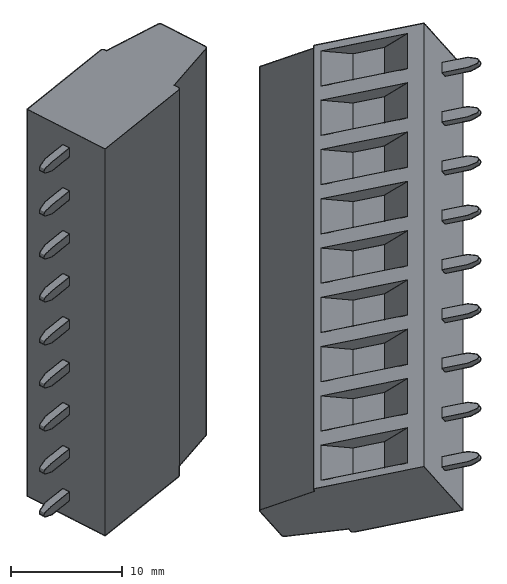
import cadquery as cq


height = 45.0
width = 8.9
total_depth = 20.3
pin_length = 3.5
body_depth = total_depth - pin_length
pole_count = 9
pitch = height / pole_count

shoulder_depth = 10.8
left_shoulder = 0.45
right_shoulder = 0.7
crown_inset_left = 1.8
crown_inset_right = 1.7
corner_radius = 0.25

funnel_length = 8.4
funnel_height = 3.55
funnel_floor_length = 3.05
funnel_floor_height = 2.85
funnel_depth = 1.0
funnel_margin = 1.58

pin_width = 0.75
pin_height = 1.05
pin_taper_length = 1.0
pin_tip_width = 0.55
pin_nose_length = 0.22
pin_nose_height = 0.6
pin_root = 0.45

pole_heights = [(pole + 0.5) * pitch for pole in range(pole_count)]


def make_housing():
    """Extrude the shouldered outline; its pin face lies on Y = 0."""
    left = -width / 2
    right = width / 2
    outline = [
        (left, 0),
        (right, 0),
        (right, shoulder_depth),
        (right - right_shoulder, shoulder_depth),
        (right - crown_inset_right, body_depth),
        (left + crown_inset_left, body_depth),
        (left + left_shoulder, shoulder_depth),
        (left, shoulder_depth),
    ]
    housing = cq.Workplane("XY").polyline(outline).close().extrude(height)
    crown_edges = housing.faces(">Y").edges("|Z")
    shoulder_edges = housing.faces("<X or >X").edges("|Z and >Y")
    return housing.newObject(crown_edges.vals() + shoulder_edges.vals()).fillet(corner_radius)


def make_funnel(z):
    """Pyramidal pocket narrowing from the -X face to a flat floor."""
    middle_y = funnel_margin + funnel_length / 2
    return (
        cq.Workplane("YZ", origin=(-width / 2, middle_y, z))
        .rect(funnel_length, funnel_height)
        .workplane(offset=funnel_depth)
        .rect(funnel_floor_length, funnel_floor_height)
        .loft(ruled=True)
    )


def make_pin(z):
    """Flat pin pointing to -Y, tapered in height and width to a rounded nose."""
    half_height = pin_height / 2
    half_nose = pin_nose_height / 2
    half_width = pin_width / 2
    half_tip = pin_tip_width / 2
    taper_start = pin_taper_length - pin_length
    nose_start = pin_nose_length - pin_length
    side = (
        cq.Workplane("YZ", origin=(0, 0, z))
        .moveTo(pin_root, half_height)
        .lineTo(taper_start, half_height)
        .lineTo(nose_start, half_nose)
        .threePointArc((-pin_length, 0), (nose_start, -half_nose))
        .lineTo(taper_start, -half_height)
        .lineTo(pin_root, -half_height)
        .close()
        .extrude(half_width, both=True)
    )
    plan_outline = [
        (half_width, pin_root),
        (half_width, taper_start),
        (half_tip, -pin_length),
        (-half_tip, -pin_length),
        (-half_width, taper_start),
        (-half_width, pin_root),
    ]
    plan = (
        cq.Workplane("XY", origin=(0, 0, z))
        .polyline(plan_outline)
        .close()
        .extrude(half_height, both=True)
    )
    return side.intersect(plan)


result = make_housing()
for pole_z in pole_heights:
    result = result.cut(make_funnel(pole_z))
    result = result.union(make_pin(pole_z))